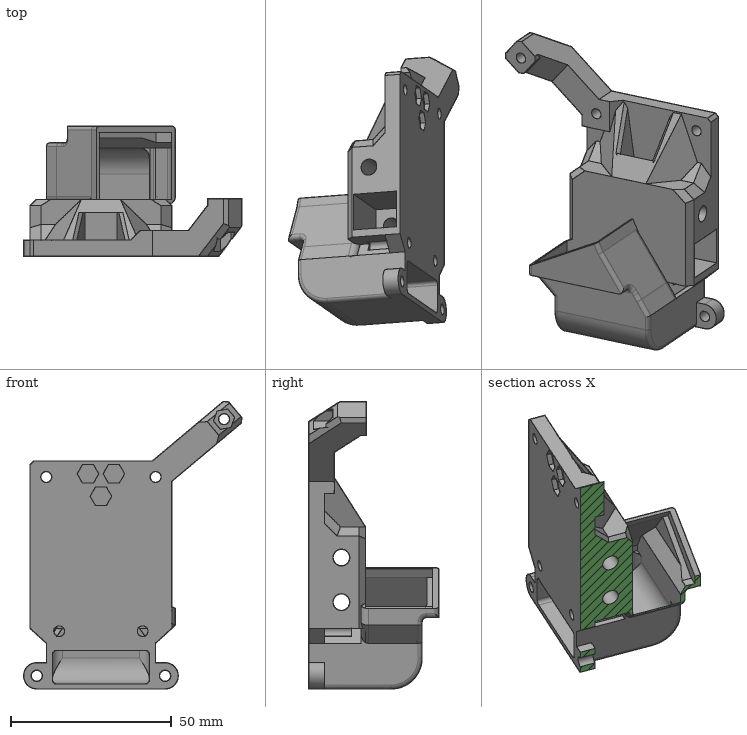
import cadquery as cq
import math

plate_thickness = 5.0
plate_half_width = 22.1
plate_top = 70.9
plate_shoulder = 18.9
corner_chamfer = 1.2
neck_half_width = 17.0
neck_shoulder = 14.2

screw_diameter = 3.3
lug_radius = 4.1
lug_hole_x = 19.9
lug_hole_diameter = 3.4
upper_hole_x = 17.0
upper_hole_z = 65.9
lower_hole_x = 13.0
lower_hole_z = 18.0
lower_hole_depth = 13.3

hex_flats = 5.8
hex_depth = 1.6
hex_spacing = 8.0
hex_row_z = 66.85

block_back = 17.7
block_bottom = plate_shoulder
block_top = 50.4
block_edge_chamfer = 2.0
block_corner_width = 3.4
block_corner_height = 2.9
gusset_size = 4.9
gusset_end_drop = 1.1
rod_diameter = 5.1
rod_y = 10.2
rod_heights = (27.0, 40.8)
pocket_y = (1.25, 15.2)
pocket_z = (21.2, 32.5)
pocket_depth = plate_half_width

rib_top = 70.3
rib_top_half_width = 11.6
rib_base_half_width = 19.2
rib_nose_half_width = 6.1
rib_pocket_back = 13.7
rib_pocket_floor_half_width = 4.9
rib_pocket_top_half_width = 7.8
rib_pocket_chamfer = 1.0

duct_wall = 1.6
duct_back = 35.3
duct_bend_radius = 9.65
duct_edge_radius = 1.25
duct_mouth_half_width = 15.0
duct_mouth_top = 12.0
mouth_corner_radius = 1.25
bend_corner_radius = 3.0
cavity_side_radius = 4.5
hood_front_radius = 2.3
base_inset = 1.8
hood_front = 16.3
hood_back = 40.5
hood_step = 22.2
hood_back_wall = 2.0
hood_side_wall = 1.2
hood_seat_back = 36.7
hood_seat_bottom = 26.2
hood_left_rim = (-1.4, 37.7)
hood_left_collar = (-2.95, 34.6)
hood_left_foot = (-13.8, 19.0)
hood_right_rim = (23.15, 25.0)
hood_right_foot = (23.15, 19.8)

arm_angle = 40.0
arm_half_width = 4.4
arm_thickness = 8.0
arm_hole_x = 38.25
arm_hole_z = 83.8
arm_end = 4.6
arm_front_bend = -4.5
arm_back_bend = -10.8
arm_pad_start = -3.9
arm_root = -26.8
arm_back = 18.0
arm_edge_chamfer = 1.6
nut_trap_floor = 7.5
arm_base_left = 9.2
arm_base_bottom = 60.8

reach = 178.7
tolerance = 0.01
parallel = 0.999


def polyhedron(points, faces):
    """Solid bounded by flat faces given as lists of point indices."""
    sides = []
    for face in faces:
        wire = cq.Wire.makePolygon([cq.Vector(*points[i]) for i in face], close=True)
        sides.append(cq.Face.makeFromWires(wire))
    return cq.Workplane(obj=cq.Solid.makeSolid(cq.Shell.makeShell(sides)))


def prism_along_y(points, start, end):
    """Extrude an X-Z outline from Y = start to Y = end."""
    return cq.Workplane("XZ", origin=(0, start, 0)).polyline(points).close().extrude(start - end)


def slab_up_to(z):
    """Large slab filling everything from Z = 0 up to the given height."""
    return cq.Workplane("XY").box(reach, reach, z, centered=(True, True, False))


def hole_along_y(x, z, diameter, depth):
    """Round cutter starting at the front face."""
    return cq.Workplane("XZ", origin=(x, 0, z)).circle(diameter / 2).extrude(-depth)


def make_plate():
    """Flat front plate with a narrow neck and two screw lugs at the bottom."""
    outline = [
        (-neck_half_width, 0), (-neck_half_width, neck_shoulder),
        (-plate_half_width, plate_shoulder), (-plate_half_width, plate_top - corner_chamfer),
        (-plate_half_width + corner_chamfer, plate_top), (plate_half_width, plate_top),
        (plate_half_width, plate_shoulder), (neck_half_width, neck_shoulder), (neck_half_width, 0),
    ]
    plate = prism_along_y(outline, 0, plate_thickness)
    lugs = (
        cq.Workplane("XZ", origin=(0, 0, lug_radius))
        .slot2D(2 * (lug_hole_x + lug_radius), 2 * lug_radius)
        .extrude(-plate_thickness)
    )
    return plate.union(lugs)


def make_block():
    """Carrier block with sloped top corners and a chamfer round its back face."""
    top_side = block_top - block_corner_height
    inner_half = plate_half_width - block_corner_width
    outline = [
        (-plate_half_width, block_bottom), (-plate_half_width, top_side), (-inner_half, block_top),
        (inner_half, block_top), (plate_half_width, top_side), (plate_half_width, block_bottom),
    ]
    block = prism_along_y(outline, 0, block_back)
    return block.faces(">Y").edges("not |X").chamfer(block_edge_chamfer)


def make_gusset():
    """45 degree fillet between plate and block top, dropping at both ends with the block corners."""
    inner_half = plate_half_width - block_corner_width
    end_size = gusset_size - gusset_end_drop
    low = block_top - block_corner_height
    sections = [
        (-plate_half_width, low, end_size), (-inner_half, block_top, gusset_size),
        (inner_half, block_top, gusset_size), (plate_half_width, low, end_size),
    ]
    gusset = cq.Workplane("XY")
    for (x0, z0, s0), (x1, z1, s1) in zip(sections, sections[1:]):
        y = plate_thickness
        points = [
            (x0, y, z0), (x0, y + s0, z0), (x0, y, z0 + s0),
            (x1, y, z1), (x1, y + s1, z1), (x1, y, z1 + s1),
        ]
        faces = [(0, 1, 2), (3, 4, 5), (0, 1, 4, 3), (1, 2, 5, 4), (2, 0, 3, 5)]
        gusset = gusset.union(polyhedron(points, faces))
    return gusset


def make_rib_pocket():
    """Flat-bottomed pocket that widens upwards."""
    outline = [
        (-rib_pocket_floor_half_width, block_top), (-rib_pocket_top_half_width, rib_top),
        (rib_pocket_top_half_width, rib_top), (rib_pocket_floor_half_width, block_top),
    ]
    return prism_along_y(outline, plate_thickness, rib_pocket_back)


def make_rib():
    """Tapered rib sloping from the block's back edge up to the plate, with a pocket in its slope."""
    points = [
        (-rib_base_half_width, plate_thickness, block_top), (rib_base_half_width, plate_thickness, block_top),
        (rib_top_half_width, plate_thickness, rib_top), (-rib_top_half_width, plate_thickness, rib_top),
        (-rib_nose_half_width, block_back, block_top), (rib_nose_half_width, block_back, block_top),
    ]
    faces = [(0, 1, 2, 3), (0, 1, 5, 4), (3, 2, 5, 4), (0, 3, 4), (1, 2, 5)]
    rib = polyhedron(points, faces).cut(make_rib_pocket())

    def on_pocket_side_rim(edge):
        middle = edge.Center()
        run = (block_back - middle.y) / (block_back - plate_thickness)
        on_slope = abs(middle.z - block_top - run * (rib_top - block_top)) < tolerance
        inside = abs(middle.x) < rib_pocket_top_half_width
        return on_slope and inside and abs(edge.tangentAt(0.5).x) < parallel

    return rib.edges().filter(on_pocket_side_rim).chamfer(rib_pocket_chamfer)


def make_duct():
    """Outer body: the front shape of the duct trimmed by its rounded side profile."""
    front = [
        (-neck_half_width, 0), (-neck_half_width, neck_shoulder), hood_left_foot, hood_left_collar,
        hood_left_rim, hood_right_rim, hood_right_foot, (neck_half_width, neck_shoulder),
        (neck_half_width, 0),
    ]
    side = (
        cq.Workplane("YZ", origin=(-reach / 2, 0, 0))
        .moveTo(hood_front, 0)
        .lineTo(duct_back - duct_bend_radius, 0)
        .radiusArc((duct_back, duct_bend_radius), -duct_bend_radius)
        .lineTo(duct_back, hood_step - duct_edge_radius)
        .radiusArc((duct_back + duct_edge_radius, hood_step), duct_edge_radius)
        .lineTo(hood_back, hood_step)
        .lineTo(hood_back, reach)
        .lineTo(hood_front, reach)
        .lineTo(hood_front, 0)
        .close()
        .extrude(reach)
    )
    duct = prism_along_y(front, 0, hood_back).intersect(side)

    def on_rounded_contour(edge):
        """Outer side edges, leaving the open rim and the front end sharp."""
        middle = edge.Center()
        tangent = edge.tangentAt(0.5)
        along_x = abs(tangent.x) > parallel
        along_y = abs(tangent.y) > parallel
        rim = abs(middle.x - (hood_left_rim[0] + hood_right_rim[0]) / 2) < tolerance
        bottom = along_y and middle.z < tolerance
        step_corner = middle.y > duct_back and along_y
        back = middle.y > duct_back - duct_bend_radius and not along_y
        return bottom or step_corner or (back and not along_x and not rim)

    def on_hood_front(edge):
        middle = edge.Center()
        at_front = abs(middle.y - hood_front) < tolerance
        left = hood_left_collar[0] > middle.x and middle.z > neck_shoulder
        return at_front and (left or middle.x > neck_half_width + tolerance)

    duct = duct.edges().filter(on_rounded_contour).fillet(duct_edge_radius)
    return duct.edges().filter(on_hood_front).fillet(hood_front_radius)


def make_duct_base():
    """Front part of the duct below the block, set in at its sloped shoulders."""
    shoulder_x = neck_half_width - base_inset
    slope_x = -hood_left_foot[0] - base_inset
    right = [(neck_half_width, 0), (neck_half_width, neck_shoulder), (shoulder_x, neck_shoulder),
             (slope_x, block_bottom)]
    left = [(-x, z) for x, z in reversed(right)]
    base = prism_along_y(right + left, 0, block_back)
    return base.edges("|Y and <Z").fillet(duct_edge_radius)


def make_duct_cavity():
    """Air path from the open rim down the hood, round the bend and out of the front mouth."""
    left_foot = (hood_left_foot[0] + hood_side_wall, hood_left_foot[1])
    left_collar = (hood_left_collar[0] + hood_side_wall, hood_left_collar[1])
    left_rim = (hood_left_rim[0] + hood_side_wall, hood_left_rim[1])
    right_x = hood_right_rim[0] - hood_side_wall
    front = [
        (-duct_mouth_half_width, duct_wall), (-duct_mouth_half_width, neck_shoulder), left_foot,
        left_collar, left_rim, (right_x, left_rim[1]), (right_x, hood_right_foot[1]),
        (duct_mouth_half_width, neck_shoulder - duct_wall), (duct_mouth_half_width, duct_wall),
    ]
    inner_back = duct_back - duct_wall
    inner_radius = duct_bend_radius - duct_wall
    side = (
        cq.Workplane("YZ", origin=(-reach / 2, 0, 0))
        .moveTo(block_back, 0)
        .lineTo(inner_back, 0)
        .lineTo(inner_back, hood_step - duct_edge_radius)
        .lineTo(hood_seat_back, hood_seat_bottom)
        .lineTo(hood_seat_back, reach)
        .lineTo(block_back, reach)
        .close()
        .extrude(reach)
    )
    right_corners = cq.selectors.BoxSelector(
        (duct_mouth_half_width - tolerance, 0, neck_shoulder - duct_wall - tolerance),
        (right_x + tolerance, hood_back, hood_right_foot[1] + tolerance),
    )
    hood = (
        prism_along_y(front, block_back, hood_back)
        .edges("|Y").edges(right_corners).fillet(cavity_side_radius)
        .intersect(side)
    )

    collar_x = hood_left_rim[0] - hood_left_collar[0]
    collar_z = hood_left_rim[1] - hood_left_collar[1]
    right_top = hood_right_rim[1]
    seat = prism_along_y(
        [left_collar, left_rim, (right_x, left_rim[1]), (right_x, right_top - collar_z),
         (right_x - collar_x, right_top - collar_z)],
        block_back, hood_back - hood_back_wall)
    seat = seat.cut(slab_up_to(hood_step + duct_wall))

    mouth_height = duct_mouth_top - duct_wall
    mouth = (
        cq.Workplane("XZ", origin=(0, 0, duct_wall + mouth_height / 2))
        .rect(2 * duct_mouth_half_width, mouth_height)
        .extrude(-block_back)
        .edges("|Y").fillet(mouth_corner_radius)
    )
    bend_block = (
        cq.Workplane("YZ", origin=(-duct_mouth_half_width, 0, 0))
        .moveTo(block_back, duct_wall)
        .lineTo(inner_back - inner_radius, duct_wall)
        .radiusArc((inner_back, duct_wall + inner_radius), -inner_radius)
        .lineTo(inner_back, reach)
        .lineTo(block_back, reach)
        .close()
        .extrude(2 * duct_mouth_half_width)
    )
    bend_plan = (
        cq.Workplane("XY")
        .rect(2 * duct_mouth_half_width, 2 * inner_back)
        .extrude(reach)
        .edges("|Z").fillet(bend_corner_radius)
    )
    bend_block = bend_block.intersect(bend_plan)
    below = slab_up_to(duct_mouth_top)
    upper = hood.cut(below)
    lower = hood.intersect(below).intersect(bend_block)
    return upper.union(lower).union(seat).union(mouth)


def make_arm():
    """Inclined arm that bends backwards at its tip, with a thickened base on the plate."""
    angle = math.radians(arm_angle)
    arm_plane = cq.Plane(
        origin=(arm_hole_x, 0, arm_hole_z),
        xDir=(math.cos(angle), 0, math.sin(angle)),
        normal=(-math.sin(angle), 0, math.cos(angle)),
    )
    pad_rise = arm_thickness + arm_pad_start - arm_back_bend
    profile = [
        (arm_root, 0), (arm_front_bend, 0), (arm_end, arm_end - arm_front_bend), (arm_end, arm_back),
        (arm_pad_start, arm_back), (arm_pad_start, pad_rise), (arm_back_bend, arm_thickness),
        (arm_root, arm_thickness),
    ]
    arm = cq.Workplane(arm_plane).polyline(profile).close().extrude(arm_half_width, both=True)
    along = arm_plane.xDir
    across = arm_plane.zDir
    hole_center = arm_plane.origin

    def on_slope_side(edge):
        middle = edge.Center() - hole_center
        on_slope = abs(middle.y - (middle.dot(along) - arm_front_bend)) < tolerance
        return on_slope and abs(edge.tangentAt(0.5).dot(across)) < tolerance

    def on_pad_corner(edge):
        position = (edge.Center() - hole_center).dot(along)
        at_pad_end = min(abs(position - arm_end), abs(position - arm_pad_start)) < tolerance
        return abs(edge.tangentAt(0.5).y) > parallel and at_pad_end

    arm = arm.edges().filter(on_pad_corner).chamfer(corner_chamfer)
    arm = arm.edges().filter(on_slope_side).chamfer(arm_edge_chamfer)
    base = [
        (arm_base_left, arm_base_bottom), (arm_base_left, plate_top), (plate_half_width, plate_top),
        (plate_half_width, arm_base_bottom),
    ]
    rise = arm_thickness - plate_thickness
    pad = prism_along_y(base, plate_thickness, arm_thickness)
    pad = pad.faces(">Y").edges("<X").chamfer(rise - tolerance)
    return arm.union(pad)


def make_nut_trap():
    """Hexagonal nut seat in the arm tip, two flats square to the arm."""
    trap = cq.Workplane("XZ").polygon(6, hex_flats / math.cos(math.pi / 6)).extrude(-nut_trap_floor)
    trap = trap.rotate((0, 0, 0), (0, 1, 0), 90 - arm_angle)
    return trap.translate((arm_hole_x, 0, arm_hole_z))


def make_hex_recesses():
    """Three shallow hexagons in a triangular cluster."""
    row_step = hex_spacing * math.sin(math.pi / 3)
    centers = [(-hex_spacing / 2, hex_row_z), (hex_spacing / 2, hex_row_z), (0, hex_row_z - row_step)]
    return (
        cq.Workplane("XZ")
        .pushPoints(centers)
        .polygon(6, hex_flats / math.cos(math.pi / 6))
        .extrude(-hex_depth)
    )


def make_side_pocket():
    """Rectangular pocket entering the block from its -X side."""
    width = pocket_y[1] - pocket_y[0]
    height = pocket_z[1] - pocket_z[0]
    return cq.Workplane("XY").box(pocket_depth, width, height, centered=False).translate(
        (-plate_half_width, pocket_y[0], pocket_z[0])
    )


result = make_plate().union(make_block()).union(make_gusset().cut(make_rib_pocket())).union(make_rib())
result = result.union(make_duct()).union(make_duct_base()).union(make_arm())

result = result.cut(make_duct_cavity())
result = result.cut(make_side_pocket())
result = result.cut(make_nut_trap())
result = result.cut(make_hex_recesses())

for side in (-1, 1):
    result = result.cut(hole_along_y(side * lug_hole_x, lug_radius, lug_hole_diameter, reach))
    result = result.cut(hole_along_y(side * upper_hole_x, upper_hole_z, screw_diameter, reach))
    result = result.cut(hole_along_y(side * lower_hole_x, lower_hole_z, screw_diameter, lower_hole_depth))
result = result.cut(hole_along_y(arm_hole_x, arm_hole_z, screw_diameter, reach))

for height in rod_heights:
    rod_hole = cq.Workplane("YZ", origin=(-reach / 2, rod_y, height)).circle(rod_diameter / 2).extrude(reach)
    result = result.cut(rod_hole)